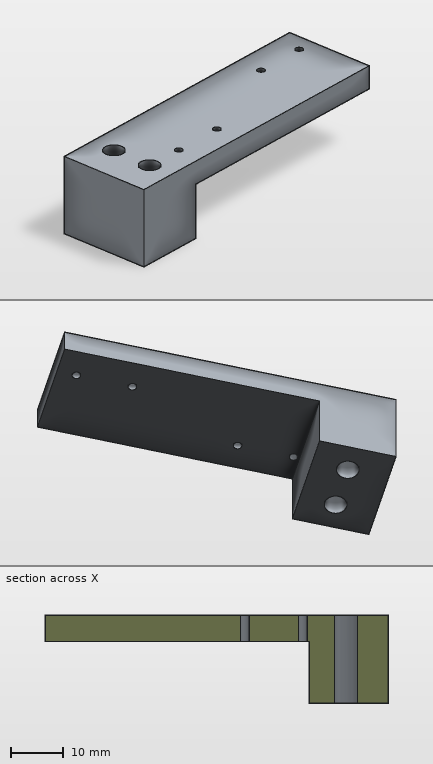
import cadquery as cq

length = 65.0
width = 20.0
height = 16.7
plate_thickness = 5.0
block_length = 15.0

large_diameter = 4.3
large_spacing = 9.0
large_left_x = 5.5
large_y = 8.0

small_diameter = 1.6
small_pitch = 11.0
left_pair_x = 5.7
left_pair_y = 50.2
right_pair_x = left_pair_x + large_spacing
right_pair_y = 16.2


def drill(body, diameter, centers):
    """Cut vertical holes through the full height of the body."""
    cutters = cq.Workplane("XY").pushPoints(centers).circle(diameter / 2).extrude(height)
    return body.cut(cutters)


plate_bottom = height - plate_thickness
plate = (
    cq.Workplane("XY")
    .box(width, length, plate_thickness, centered=False)
    .translate((0, 0, plate_bottom))
)
block = cq.Workplane("XY").box(width, block_length, height, centered=False)
body = plate.union(block)

large_centers = [(large_left_x, large_y), (large_left_x + large_spacing, large_y)]
body = drill(body, large_diameter, large_centers)

for pair_x, pair_y in [(left_pair_x, left_pair_y), (right_pair_x, right_pair_y)]:
    pair_centers = [(pair_x, pair_y), (pair_x, pair_y + small_pitch)]
    body = drill(body, small_diameter, pair_centers)

result = body